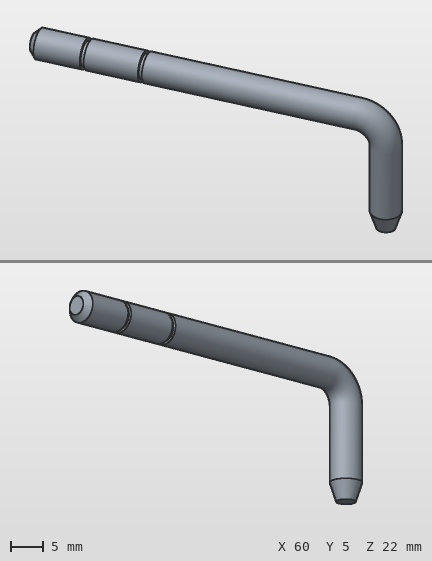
import cadquery as cq

length = 60.0
height = 22.0
rod_diameter = 5.0
bend_radius = 4.5
end_chamfer = 1.0
tip_diameter = 3.0
tip_length = 3.0
groove_centres = (8.9, 18.35)
groove_width = 0.65
groove_depth = 0.45

rod_radius = rod_diameter / 2
bend_start_x = length - rod_radius - bend_radius
leg_x = length - rod_radius
leg_bottom_z = rod_radius - height


def rod():
    """Long arm along X, with a chamfered free end."""
    arm = cq.Workplane("YZ").circle(rod_radius).extrude(bend_start_x)
    return arm.faces("<X").chamfer(end_chamfer)


def bend():
    """Quarter turn from +X down to -Z."""
    return (
        cq.Workplane("YZ", origin=(bend_start_x, 0, 0))
        .circle(rod_radius)
        .revolve(90, (-0.6, -bend_radius, 0), (0.6, -bend_radius, 0))
    )


def leg():
    """Downward leg ending in a conical tip."""
    profile = (
        cq.Workplane("XZ", origin=(leg_x, 0, 0))
        .moveTo(0, -bend_radius)
        .lineTo(rod_radius, -bend_radius)
        .lineTo(rod_radius, leg_bottom_z + tip_length)
        .lineTo(tip_diameter / 2, leg_bottom_z)
        .lineTo(0, leg_bottom_z)
        .close()
    )
    return profile.revolve(360, (0, 0, 0), (0, 1, 0))


def groove(centre_x):
    """Ring that cuts one flat-bottomed groove around the rod."""
    return (
        cq.Workplane("YZ", origin=(centre_x - groove_width / 2, 0, 0))
        .circle(rod_diameter)
        .circle(rod_radius - groove_depth)
        .extrude(groove_width)
    )


result = rod().union(bend()).union(leg())
for groove_x in groove_centres:
    result = result.cut(groove(groove_x))